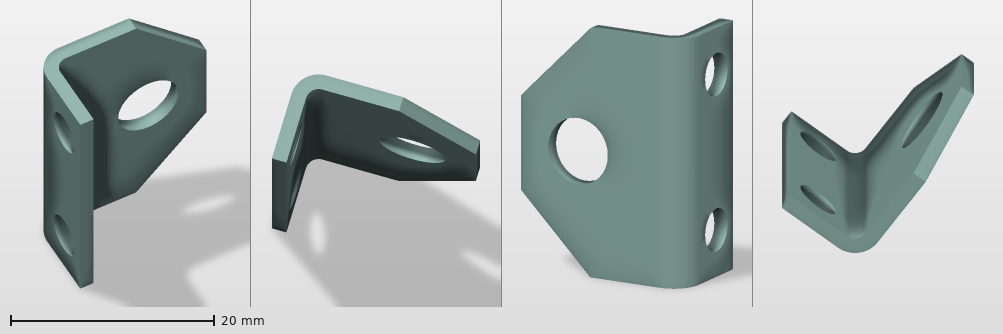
import cadquery as cq

width = 9.65
depth = 18.55
height = 25.4

thickness = 1.5
outer_bend_radius = 2.8
inner_bend_radius = outer_bend_radius - thickness
corner_cut = 7.87

mount_hole_diameter = 4.4
mount_hole_spacing = 15.85
mount_hole_x = 6.35
main_hole_diameter = 6.73
main_hole_y = depth - 6.5


def bent_sheet():
    """L-shaped sheet with concentric bend radii, extruded upwards."""
    sheet = (
        cq.Workplane("XY")
        .polyline([
            (0, 0),
            (width, 0),
            (width, thickness),
            (thickness, thickness),
            (thickness, depth),
            (0, depth),
        ])
        .close()
        .extrude(height)
    )
    sheet = sheet.edges(cq.selectors.NearestToPointSelector((0, 0, height / 2))).fillet(outer_bend_radius)
    inner_corner = (thickness, thickness, height / 2)
    return sheet.edges(cq.selectors.NearestToPointSelector(inner_corner)).fillet(inner_bend_radius)


def mount_holes():
    """Two holes through the mounting flange, one above the other."""
    drill = cq.Workplane("XZ").center(mount_hole_x, height / 2)
    drill = drill.rarray(0.25, mount_hole_spacing, 1, 2).circle(mount_hole_diameter / 2)
    return drill.extrude(-thickness)


def main_hole():
    """Single hole through the large flange at mid height."""
    drill = cq.Workplane("YZ").center(main_hole_y, height / 2)
    return drill.circle(main_hole_diameter / 2).extrude(thickness)


bracket = bent_sheet().faces(">Y").edges("|X").chamfer(corner_cut)
result = bracket.cut(mount_holes()).cut(main_hole())